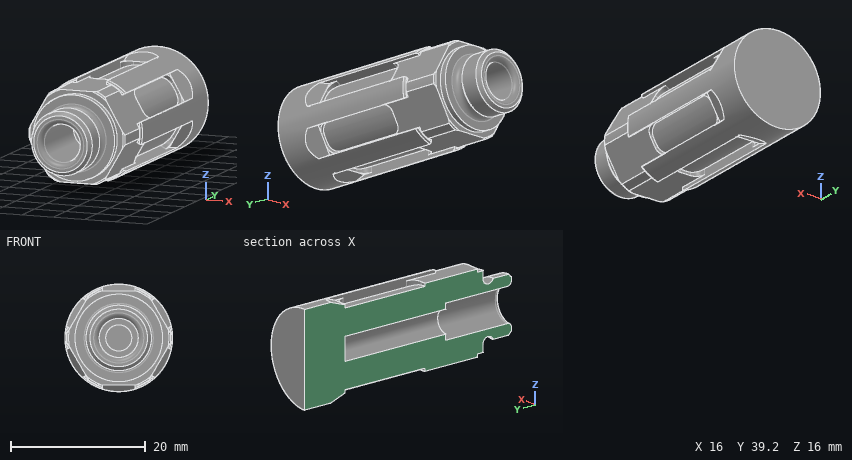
import cadquery as cq
import math

length = 39.2
body_radius = 16.0 / 2

thread_radius = 9.72 / 2
tip_chamfer = 0.6
groove_radius = 0.95
neck_radius = 4.2
flange_radius = 13.0 / 2
flange_start = 5.37

hex_start = 6.43
hex_flat_distance = 14.0 / 2
hex_corner_radius = 7.7
hex_chamfer_length = 0.25
hex_chamfer_depth = 0.25

side_count = 6
side_angle = 360 / side_count
sleeve_start = 12.45
sleeve_chamfer_length = 0.35
sleeve_chamfer_depth = 0.25
slot_width = 4.82
ramp_start = 31.48
ramp_angle = 20.0
cut_clearance = 0.4

window_start = 16.45
window_end = ramp_start
window_corner_radius = 1.5
core_radius = flange_radius

bore_radius = 5.8 / 2
bore_mouth_fillet = 0.82
bore_depth = sleeve_start
inner_bore_radius = 3.9 / 2
inner_bore_depth = ramp_start


def cylinder(radius, start, end):
    """Cylinder on the part axis between two Y positions."""
    return cq.Workplane("XZ", origin=(0, start, 0)).circle(radius).extrude(start - end)


def around_axis(shape):
    """Copies of a shape, one for each side of the hexagon."""
    return [shape.rotate((0, 0, 0), (0, 1, 0), i * side_angle) for i in range(side_count)]


def make_nozzle():
    """Flange, relief groove and chamfered thread cylinder, turned in one profile."""
    groove_center_radius = neck_radius + groove_radius
    groove_center = flange_start - groove_radius
    thread_end = groove_center - math.sqrt(groove_radius**2 - (groove_center_radius - thread_radius) ** 2)
    mid_angle = math.radians(30)
    groove_mid = (
        groove_center_radius - groove_radius * math.cos(mid_angle),
        groove_center + groove_radius * math.sin(mid_angle),
    )
    return (
        cq.Workplane("XY")
        .moveTo(0, 0)
        .lineTo(thread_radius - tip_chamfer, 0)
        .lineTo(thread_radius, tip_chamfer)
        .lineTo(thread_radius, thread_end)
        .threePointArc(groove_mid, (groove_center_radius, flange_start))
        .lineTo(flange_radius, flange_start)
        .lineTo(flange_radius, hex_start)
        .lineTo(0, hex_start)
        .close()
        .revolve(360, (0, 0, 0), (0, 1, 0))
    )


def make_hexagon():
    """Hexagon with turned corners and a turned chamfer at the flange end."""
    corner_diameter = 2 * hex_flat_distance / math.cos(math.radians(side_angle / 2))
    prism = (
        cq.Workplane("XZ", origin=(0, hex_start, 0))
        .polygon(side_count, corner_diameter)
        .extrude(hex_start - sleeve_start)
    )
    turned = (
        cylinder(hex_corner_radius, hex_start, sleeve_start)
        .faces("<Y")
        .chamfer(hex_chamfer_length, hex_chamfer_depth)
    )
    return prism.intersect(turned)


def make_sleeve():
    return (
        cylinder(body_radius, sleeve_start, length)
        .faces("<Y")
        .chamfer(sleeve_chamfer_length, sleeve_chamfer_depth)
    )


def make_slot():
    """Cutter for the slot on the +Z side, ending in a ramp that rises to the sleeve surface."""
    clear_height = body_radius + cut_clearance
    ramp_end = ramp_start + (clear_height - hex_flat_distance) / math.tan(math.radians(ramp_angle))
    return (
        cq.Workplane("YZ")
        .moveTo(sleeve_start, hex_flat_distance)
        .lineTo(ramp_start, hex_flat_distance)
        .lineTo(ramp_end, clear_height)
        .lineTo(sleeve_start, clear_height)
        .close()
        .extrude(slot_width / 2, both=True)
    )


def make_window():
    """Cutter for the round-cornered window in the floor of the +Z slot, down to the core."""
    return (
        cq.Workplane("XY")
        .center(0, (window_start + window_end) / 2)
        .rect(slot_width, window_end - window_start)
        .extrude(hex_flat_distance)
        .edges("|Z")
        .fillet(window_corner_radius)
        .cut(cylinder(core_radius, window_start, window_end))
    )


def make_bore():
    """Cutter for the stepped bore with a rounded mouth."""
    mouth_radius = bore_radius + bore_mouth_fillet
    diagonal = bore_mouth_fillet * math.sqrt(0.5)
    return (
        cq.Workplane("XY")
        .moveTo(0, 0)
        .lineTo(mouth_radius, 0)
        .threePointArc(
            (mouth_radius - diagonal, bore_mouth_fillet - diagonal),
            (bore_radius, bore_mouth_fillet),
        )
        .lineTo(bore_radius, bore_depth)
        .lineTo(inner_bore_radius, bore_depth)
        .lineTo(inner_bore_radius, inner_bore_depth)
        .lineTo(0, inner_bore_depth)
        .close()
        .revolve(360, (0, 0, 0), (0, 1, 0))
    )


result = make_nozzle().union(make_hexagon()).union(make_sleeve())
for cutter in around_axis(make_slot()) + around_axis(make_window()):
    result = result.cut(cutter)
result = result.cut(make_bore())